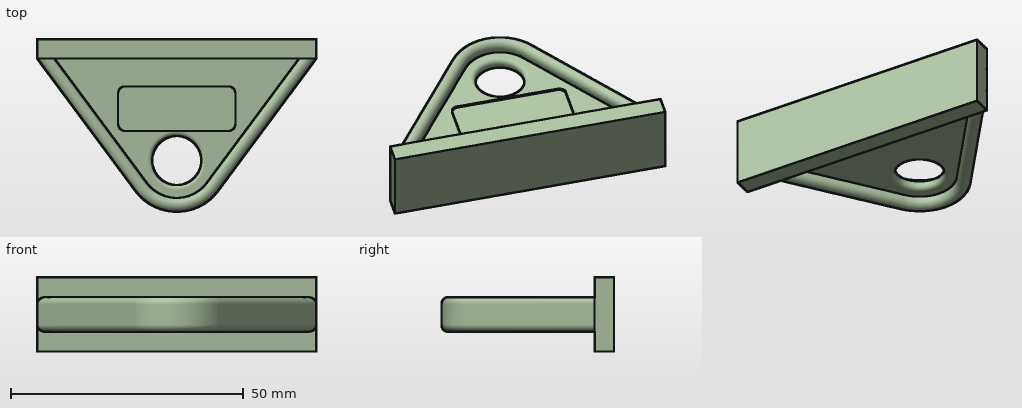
import cadquery as cq
import math

plate_length = 60.0
plate_thickness = 4.2
plate_height = 16.0

total_depth = 37.15
nose_radius = 11.05
rim_height = 7.5
rim_width = 3.0
floor_thickness = 2.5

eye_diameter = 10.5
eye_round = 1.0

pocket_length = 25.2
pocket_width = 9.6
pocket_corner = 1.5
pocket_depth = 0.35
pocket_from_back = 14.95

back_y = total_depth - nose_radius
plate_front_y = back_y - plate_thickness

corner_x = plate_length / 2
corner_distance = math.hypot(corner_x, plate_front_y)
corner_angle = math.atan2(plate_front_y, corner_x)
normal_angle = corner_angle - math.acos(nose_radius / corner_distance)
normal_x = math.cos(normal_angle)
normal_y = math.sin(normal_angle)


def side_x(inset, y):
    """X where the right-hand sloping side, moved inwards by inset, crosses the given Y."""
    return (nose_radius - inset - y * normal_y) / normal_x


def web_path(inset, end_y):
    """Open V-shaped path with a round nose, parallel to the web outline and ending at end_y."""
    radius = nose_radius - inset
    tangent_x = radius * normal_x
    tangent_y = radius * normal_y
    end_x = side_x(inset, end_y)
    return (
        cq.Workplane("XY")
        .moveTo(-end_x, end_y)
        .lineTo(-tangent_x, tangent_y)
        .threePointArc((0, -radius), (tangent_x, tangent_y))
        .lineTo(end_x, end_y)
    )


def web_prism(inset, height):
    """Web outline moved inwards by inset, extruded symmetrically about Z = 0."""
    return web_path(inset, plate_front_y).close().extrude(height / 2, both=True)


def rounded_rim():
    """Band with fully rounded upper and lower edges, swept around the web."""
    path = web_path(rim_width / 2, back_y)
    section_plane = cq.Plane(
        origin=(-side_x(rim_width / 2, back_y), back_y, 0),
        xDir=(-normal_x, normal_y, 0),
        normal=(normal_y, normal_x, 0),
    )
    rim = cq.Workplane(section_plane).slot2D(rim_height, rim_width, 90).sweep(path)
    return rim.intersect(web_prism(0, rim_height))


def mounting_plate():
    return cq.Workplane("XY").box(plate_length, plate_thickness, plate_height).translate(
        (0, back_y - plate_thickness / 2, 0)
    )


def web_floor():
    """Thin floor inside the rim, with the round-edged eye and the pocket."""
    eye = cq.Workplane("XY").circle(eye_diameter / 2).extrude(floor_thickness, both=True)
    floor = web_prism(rim_width / 2, floor_thickness).cut(eye)
    floor = floor.edges(cq.selectors.RadiusNthSelector(0)).fillet(eye_round)
    pocket = (
        cq.Workplane("XY")
        .box(pocket_length, pocket_width, pocket_depth)
        .edges("|Z")
        .fillet(pocket_corner)
        .translate((0, back_y - pocket_from_back, (floor_thickness - pocket_depth) / 2))
    )
    return floor.cut(pocket)


result = mounting_plate().union(rounded_rim()).union(web_floor())